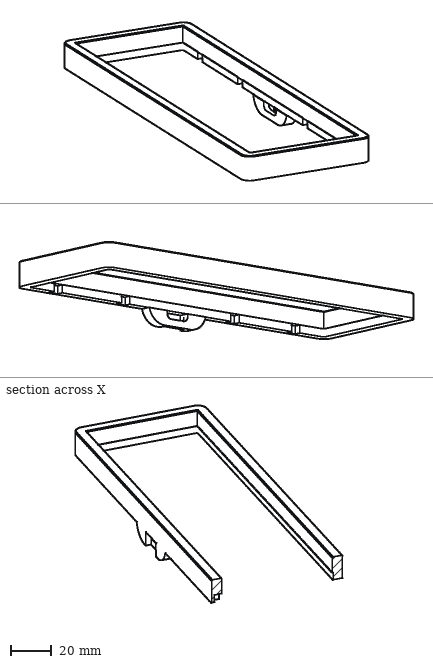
import cadquery as cq
import math

length = 201.5
width = 70.1
frame_height = 12.9
corner_radius = 5.0
wall = 5.6

top_chamfer = 0.5

lip_height = 4.0
lip_recess = 0.5
lip_corner_radius = 0.8

notch_centers = [-77.2, -33.5, 37.7, 77.2]
notch_width = 5.2
notch_depth = 3.5

total_height = 20.5
tab_height = total_height - frame_height
tab_top_width = 36.7
tab_corner_radius = 10.0
tab_thickness = wall

window_width = 13.0
window_height = 4.0
window_corner_radius = 2.5
bar_thickness = 2.8

rear_face = width / 2
lip_face = rear_face - wall + lip_recess


def frame():
    body = (
        cq.Workplane("XY")
        .rect(length, width)
        .extrude(frame_height)
        .edges("|Z")
        .fillet(corner_radius)
    )
    upper_opening = (
        cq.Workplane("XY")
        .workplane(offset=lip_height)
        .rect(length - 2 * wall, width - 2 * wall)
        .extrude(frame_height - lip_height)
    )
    lip_walls = 2 * (wall - lip_recess)
    lower_opening = (
        cq.Workplane("XY")
        .rect(length - lip_walls, width - lip_walls)
        .extrude(lip_height)
        .edges("|Z")
        .fillet(lip_corner_radius)
    )
    ring = body.cut(upper_opening).cut(lower_opening)
    return ring.faces(">Z").edges().chamfer(top_chamfer)


def notches():
    return (
        cq.Workplane("XY")
        .pushPoints([(x, lip_face + notch_depth / 2) for x in notch_centers])
        .rect(notch_width, notch_depth)
        .extrude(lip_height)
    )


def tab():
    arc_rise = tab_corner_radius - tab_height
    arc_width = math.sqrt(tab_corner_radius**2 - arc_rise**2)
    top_x = tab_top_width / 2
    flat_x = top_x - arc_width
    plate = (
        cq.Workplane("XZ", origin=(0, rear_face, 0))
        .moveTo(-top_x, 0)
        .radiusArc((-flat_x, -tab_height), -tab_corner_radius)
        .lineTo(flat_x, -tab_height)
        .radiusArc((top_x, 0), -tab_corner_radius)
        .close()
        .extrude(tab_thickness)
    )
    window = (
        cq.Workplane("XZ", origin=(0, rear_face, 0))
        .rect(window_width, 2 * window_height)
        .extrude(tab_thickness)
        .edges("|Y and <Z")
        .fillet(window_corner_radius)
    )
    bar_recess = (
        cq.Workplane("XZ", origin=(0, rear_face, 0))
        .rect(window_width, 2 * tab_height)
        .extrude(tab_thickness - bar_thickness)
    )
    return plate.cut(window).cut(bar_recess)


result = frame().cut(notches()).union(tab())